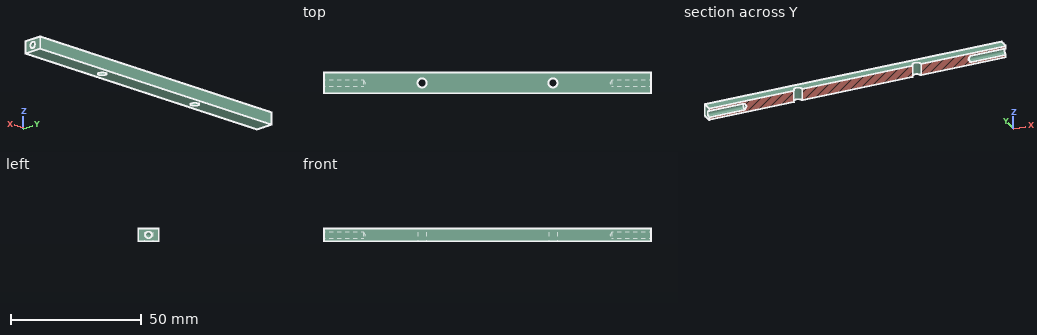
import math

import cadquery as cq

length = 125.0
width = 8.0
height = 5.0

cross_hole_diameter = 3.4
cross_hole_spacing = 50.0

end_hole_diameter = 2.5
end_hole_depth = 15.0
drill_tip_angle = 118.0


def end_hole():
    """Solid of the drilled hole in the -X end, with its conical bottom."""
    radius = end_hole_diameter / 2
    tip_length = radius / math.tan(math.radians(drill_tip_angle / 2))
    start = -length / 2
    shoulder = start + end_hole_depth
    return (
        cq.Workplane("XZ")
        .moveTo(start, 0)
        .lineTo(start, -radius)
        .lineTo(shoulder, -radius)
        .lineTo(shoulder + tip_length, 0)
        .close()
        .revolve(360, (0, 0, 0), (1, 0, 0))
    )


bar = cq.Workplane("XY").box(length, width, height)

bar = (
    bar.faces(">Z").workplane()
    .rarray(cross_hole_spacing, 1.2, 2, 1)
    .hole(cross_hole_diameter)
)

left_hole = end_hole()
result = bar.cut(left_hole).cut(left_hole.mirror("YZ"))